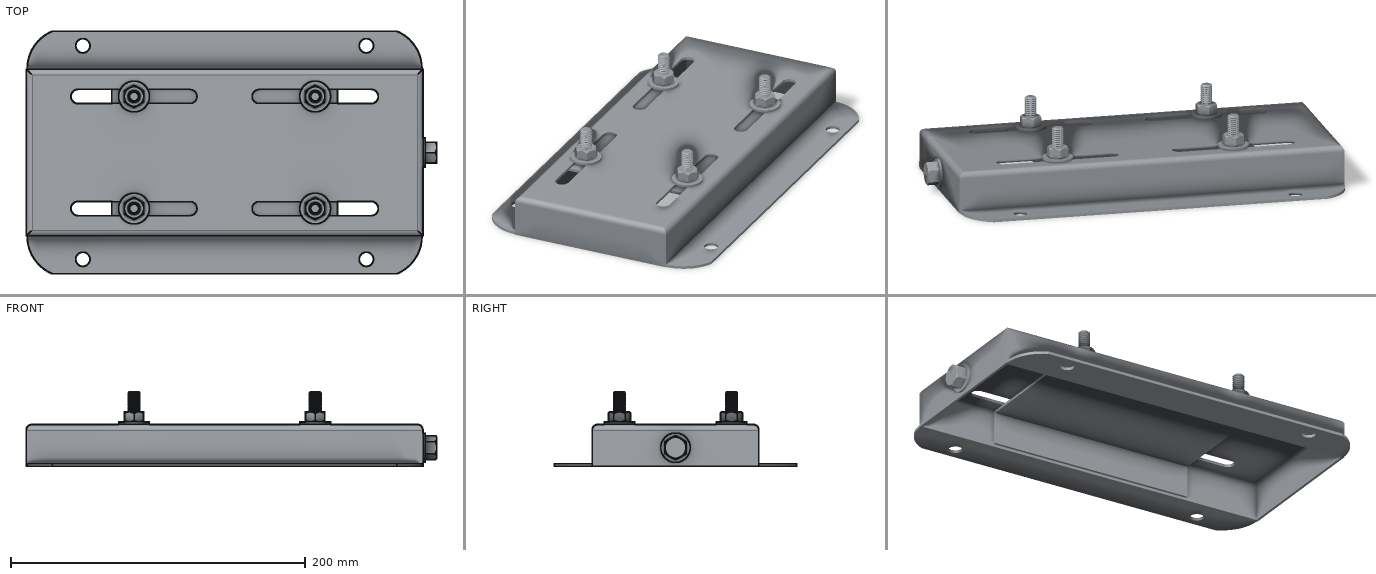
import cadquery as cq
import math

SHEET = 1.9
COVER_LENGTH = 269.875
COVER_WIDTH = 113.5
COVER_HEIGHT = 28.575
BEND_RADIUS = 4.0
BASE_WIDTH = 165.1

FLANGE_END_INSET = 0.6
FLANGE_LENGTH = COVER_LENGTH - 2 * FLANGE_END_INSET
FLANGE_REACH = (BASE_WIDTH - COVER_WIDTH) / 2
FLANGE_CORNER_RADIUS = 28.0
MOUNT_HOLE_DIAMETER = 9.53
MOUNT_HOLE_X = 96.4
MOUNT_HOLE_Y = 72.6

SLOT_LENGTH = 85.7
SLOT_WIDTH = 9.53
STUD_X = 61.6
STUD_Y = 38.1

CARRIAGE_LENGTH = 153.6
CARRIAGE_WIDTH = COVER_WIDTH - 2 * SHEET
CARRIAGE_TOP = COVER_HEIGHT - SHEET
CARRIAGE_HEIGHT = CARRIAGE_TOP - SHEET

STUD_TIP_Z = 50.8
STUD_DEPTH = 2 * SHEET
THREAD_DIAMETER = 7.94
THREAD_ROOT_DIAMETER = 6.1
THREAD_PITCH = 25.4 / 18
THREAD_CREST_WIDTH = THREAD_PITCH / 4
HEX_CHAMFER_ANGLE = 45
WASHER_THICKNESS = 1.6
STUD_WASHER_DIAMETER = 20.95
NUT_HEIGHT = 6.9
NUT_FLATS = 13.2

SCREW_Z = 12.7
SCREW_WASHER_DIAMETER = 20.0
SCREW_HEAD_FLATS = 14.29
OVERALL_LENGTH = 279.27
SCREW_HEAD_HEIGHT = OVERALL_LENGTH - COVER_LENGTH - WASHER_THICKNESS

STUD_POINTS = [(x, y) for x in (-STUD_X, STUD_X) for y in (-STUD_Y, STUD_Y)]
MOUNT_POINTS = [(x, y) for x in (-MOUNT_HOLE_X, MOUNT_HOLE_X) for y in (-MOUNT_HOLE_Y, MOUNT_HOLE_Y)]


def box_on_base(length, width, height):
    return cq.Workplane("XY").box(length, width, height, centered=(True, True, False))


def make_cover():
    """Hollow cover with rounded top edges and four slots."""
    outer = box_on_base(COVER_LENGTH, COVER_WIDTH, COVER_HEIGHT)
    outer = outer.faces(">Z").edges().fillet(BEND_RADIUS)
    inner = box_on_base(COVER_LENGTH - 2 * SHEET, COVER_WIDTH - 2 * SHEET, CARRIAGE_TOP)
    inner = inner.faces(">Z").edges().fillet(BEND_RADIUS - SHEET)
    slots = (
        cq.Workplane("XY")
        .workplane(offset=CARRIAGE_TOP)
        .pushPoints(STUD_POINTS)
        .slot2D(SLOT_LENGTH, SLOT_WIDTH)
        .extrude(SHEET)
    )
    return outer.cut(inner).cut(slots)


def make_flange():
    """Flange on the +Y side; its corner arcs start square to the cover and stop at the outer edge."""
    half_length = FLANGE_LENGTH / 2
    inner_y = COVER_WIDTH / 2
    outer_y = BASE_WIDTH / 2
    arc_center_x = half_length - FLANGE_CORNER_RADIUS
    end_angle = math.asin(FLANGE_REACH / FLANGE_CORNER_RADIUS)
    arc_end_x = arc_center_x + FLANGE_CORNER_RADIUS * math.cos(end_angle)
    arc_mid_x = arc_center_x + FLANGE_CORNER_RADIUS * math.cos(end_angle / 2)
    arc_mid_y = inner_y + FLANGE_CORNER_RADIUS * math.sin(end_angle / 2)
    return (
        cq.Workplane("XY")
        .moveTo(-half_length, inner_y - SHEET)
        .lineTo(half_length, inner_y - SHEET)
        .lineTo(half_length, inner_y)
        .threePointArc((arc_mid_x, arc_mid_y), (arc_end_x, outer_y))
        .lineTo(-arc_end_x, outer_y)
        .threePointArc((-arc_mid_x, arc_mid_y), (-half_length, inner_y))
        .close()
        .extrude(SHEET)
    )


def make_carriage():
    """Channel with its web under the cover top and its two legs along the long walls."""
    outer = box_on_base(CARRIAGE_LENGTH, CARRIAGE_WIDTH, CARRIAGE_HEIGHT)
    outer = outer.edges("|X and >Z").fillet(BEND_RADIUS - SHEET)
    inner = box_on_base(CARRIAGE_LENGTH, CARRIAGE_WIDTH - 2 * SHEET, CARRIAGE_HEIGHT - SHEET)
    return outer.cut(inner).translate((0, 0, CARRIAGE_TOP - CARRIAGE_HEIGHT))


def make_hex(flats, height):
    """Hexagon standing on Z = 0, corners along X, with its top corners turned off conically."""
    corners = flats / math.cos(math.radians(30))
    hexagon = cq.Workplane("XY").polygon(6, corners).extrude(height)
    corner_radius = corners / 2
    flat_radius = flats / 2
    chamfer_drop = (corner_radius - flat_radius) * math.tan(math.radians(HEX_CHAMFER_ANGLE))
    turned_blank = (
        cq.Workplane("XZ")
        .lineTo(corner_radius, 0)
        .lineTo(corner_radius, height - chamfer_drop)
        .lineTo(flat_radius, height)
        .lineTo(0, height)
        .close()
        .revolve(360, (0, 0, 0), (0, 1, 0))
    )
    return hexagon.intersect(turned_blank)


def make_stud():
    """Stud on the Z axis with washer, nut chamfered at both ends, and thread grooves up to its tapered tip."""
    washer = cq.Workplane("XY").circle(STUD_WASHER_DIAMETER / 2).extrude(WASHER_THICKNESS)
    nut = make_hex(NUT_FLATS, NUT_HEIGHT)
    nut = nut.intersect(nut.rotate((0, 0, NUT_HEIGHT / 2), (1, 0, NUT_HEIGHT / 2), 180))
    nut = nut.rotate((0, 0, 0), (0, 0, 1), 90).translate((0, 0, WASHER_THICKNESS))

    crest = THREAD_DIAMETER / 2
    root = THREAD_ROOT_DIAMETER / 2
    tip = STUD_TIP_Z - COVER_HEIGHT
    nut_middle = WASHER_THICKNESS + NUT_HEIGHT / 2
    flank = (THREAD_PITCH - THREAD_CREST_WIDTH) / 2
    tip_chamfer = crest - root
    groove_count = math.floor((tip - tip_chamfer - nut_middle) / THREAD_PITCH)
    profile = cq.Workplane("XZ").moveTo(0, tip).lineTo(root, tip)
    profile = profile.lineTo(crest, tip - tip_chamfer)
    for groove in range(groove_count):
        crest_top = tip - tip_chamfer - groove * THREAD_PITCH
        profile = profile.lineTo(crest, crest_top - THREAD_CREST_WIDTH)
        profile = profile.lineTo(root, crest_top - THREAD_CREST_WIDTH - flank)
        profile = profile.lineTo(crest, crest_top - THREAD_PITCH)
    thread = (
        profile.lineTo(crest, -STUD_DEPTH)
        .lineTo(0, -STUD_DEPTH)
        .close()
        .revolve(360, (0, 0, 0), (0, 1, 0))
    )
    return washer.union(nut).union(thread)


def make_screw_head():
    """Washer and hexagon head pointing along +X, standing on the YZ plane."""
    washer = cq.Workplane("XY").circle(SCREW_WASHER_DIAMETER / 2).extrude(WASHER_THICKNESS)
    head = make_hex(SCREW_HEAD_FLATS, SCREW_HEAD_HEIGHT).translate((0, 0, WASHER_THICKNESS))
    return washer.union(head).rotate((0, 0, 0), (0, 1, 0), 90)


flange = make_flange()
mount_holes = cq.Workplane("XY").pushPoints(MOUNT_POINTS).circle(MOUNT_HOLE_DIAMETER / 2).extrude(SHEET)

result = make_cover().union(flange).union(flange.mirror("XZ")).cut(mount_holes)
result = result.union(make_carriage())
stud = make_stud()
for stud_x, stud_y in STUD_POINTS:
    result = result.union(stud.translate((stud_x, stud_y, COVER_HEIGHT)))
result = result.union(make_screw_head().translate((COVER_LENGTH / 2, 0, SCREW_Z)))